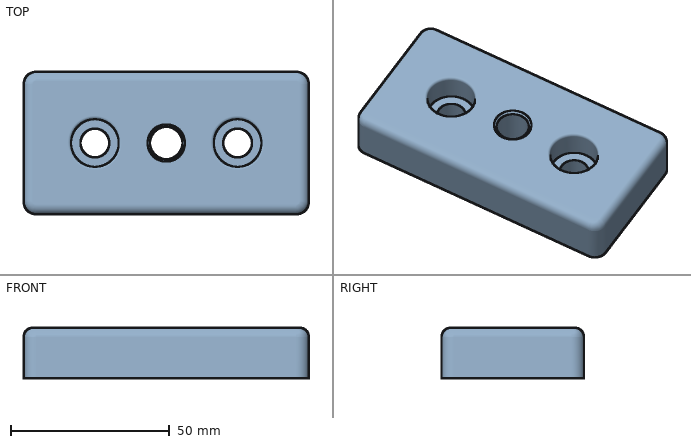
import cadquery as cq

length = 90.0
width = length / 2
height = 16.0
corner_radius = 4.0
top_edge_radius = 3.0

screw_spacing = length / 2
screw_diameter = 9.0
counterbore_diameter = 15.0
counterbore_depth = 9.0
screw_rim_radius = 1.0

centre_diameter = 10.2
centre_rim_chamfer = 0.8


def make_block():
    """Block standing on Z = 0 with rounded corners and a rounded top edge."""
    block = cq.Workplane("XY").box(length, width, height, centered=(True, True, False))
    block = block.edges("|Z").fillet(corner_radius)
    return block.faces(">Z").edges().fillet(top_edge_radius)


def top_rim(body, x):
    """Circular edge where the bore centred at (x, 0) meets the top face."""
    on_axis = cq.selectors.NearestToPointSelector((x, 0, height))
    return body.faces(">Z").edges("%CIRCLE").edges(on_axis)


def add_screw_hole(body, x):
    """Through hole with a counterbore sunk from the top face."""
    body = (
        body.faces(">Z")
        .workplane(origin=(x, 0, height))
        .cboreHole(screw_diameter, counterbore_diameter, counterbore_depth)
    )
    return top_rim(body, x).fillet(screw_rim_radius)


def add_centre_hole(body):
    """Plain through hole in the middle of the block."""
    body = body.faces(">Z").workplane(origin=(0, 0, height)).hole(centre_diameter)
    return top_rim(body, 0).chamfer(centre_rim_chamfer)


result = make_block()
for side in (-1, 1):
    result = add_screw_hole(result, side * screw_spacing / 2)
result = add_centre_hole(result)